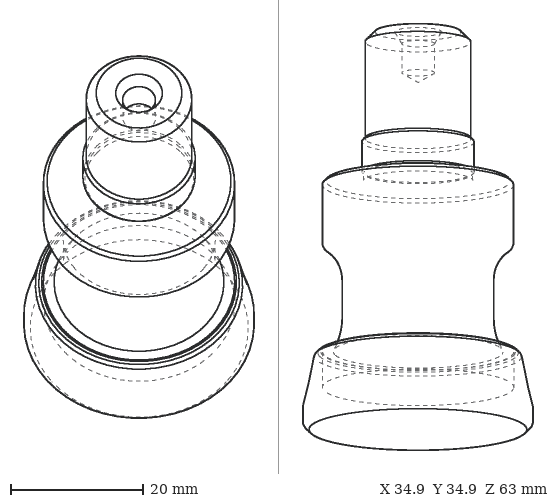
import cadquery as cq
import math

total_height = 63.0
axis_start = (0, 0)
axis_end = (0, 1)

tip_radius = 16.0 / 2
tip_chamfer = 1.5
collar_radius = 17.0 / 2
collar_top_z = 46.05
collar_bottom_z = 41.45
collar_top_chamfer = collar_radius - tip_radius
neck_radius = 16.5 / 2
collar_bottom_chamfer = collar_radius - neck_radius

hole_radius = 5.0 / 2
hole_mouth_radius = 3.5
hole_mouth_angle = 60.0
hole_depth = 6.3
drill_point_angle = 118.0

flange_radius = 29.0 / 2
flange_top_z = 40.0
flange_chamfer = 0.55
flange_round_start_z = 30.4
flange_round_end = (14.1, 29.65)
relief_radius = 9.45
relief_depth = 0.1
neck_fillet = 0.4

waist_radius = 23.0 / 2
waist_top_z = 24.7
waist_bottom_z = 18.85
upper_flare_end = (13.6, 29.3)
lower_flare_radius = 12.85

plug_radius = 29.0 / 2
plug_bottom_z = 8.2

foot_radius = 34.9 / 2
foot_top_z = 13.7
shoulder_top_radius = 14.75
shoulder_chamfer_top = (15.2, 13.5)
shoulder_chamfer_bottom = (15.7, 13.0)
taper_top = (15.8, 12.6)
taper_break = (16.7, 8.2)
foot_rim_top_z = 5.1
foot_rim_bottom_z = 2.9
rim_chamfer_top = (17.15, 2.25)
rim_chamfer_bottom = (16.5, 1.65)
base_cone_break = (11.65, 0.7)
base_flat_radius = 8.2


def tangent_arc_middle(tangent_point, end_point):
    """Middle of the arc that leaves tangent_point parallel to the axis and reaches end_point."""
    r_start, z_start = tangent_point
    rise_r = end_point[0] - r_start
    rise_z = end_point[1] - z_start
    radius = (rise_r**2 + rise_z**2) / (2 * rise_r)
    half_angle = math.asin(abs(rise_z / radius)) / 2
    middle_r = r_start + radius * (1 - math.cos(half_angle))
    middle_z = z_start + math.copysign(abs(radius) * math.sin(half_angle), rise_z)
    return middle_r, middle_z


def revolve_profile(profile):
    """Close a radius-height profile and turn it around the Z axis."""
    return profile.close().revolve(360, axis_start, axis_end)


def make_centre_hole():
    """Blind drilled hole with a countersunk mouth and a conical bottom."""
    point_length = hole_radius / math.tan(math.radians(drill_point_angle / 2))
    mouth_depth = (hole_mouth_radius - hole_radius) / math.tan(math.radians(hole_mouth_angle / 2))
    bottom_z = total_height - hole_depth
    return revolve_profile(
        cq.Workplane("XZ")
        .moveTo(0, total_height)
        .lineTo(hole_mouth_radius, total_height)
        .lineTo(hole_radius, total_height - mouth_depth)
        .lineTo(hole_radius, bottom_z)
        .lineTo(0, bottom_z - point_length)
    )


def make_spindle():
    """Spindle turned from one piece: plug, waist, flange and stem."""
    lower_flare_end = (lower_flare_radius, foot_top_z)
    waist_bottom = (waist_radius, waist_bottom_z)
    waist_top = (waist_radius, waist_top_z)
    flange_round_start = (flange_radius, flange_round_start_z)
    relief_floor_z = flange_top_z - relief_depth
    neck_fillet_start = (neck_radius + neck_fillet, relief_floor_z)
    neck_fillet_end = (neck_radius, relief_floor_z + neck_fillet)

    body = revolve_profile(
        cq.Workplane("XZ")
        .moveTo(0, plug_bottom_z)
        .lineTo(plug_radius, plug_bottom_z)
        .lineTo(plug_radius, foot_top_z)
        .lineTo(*lower_flare_end)
        .threePointArc(tangent_arc_middle(waist_bottom, lower_flare_end), waist_bottom)
        .lineTo(*waist_top)
        .threePointArc(tangent_arc_middle(waist_top, upper_flare_end), upper_flare_end)
        .lineTo(*flange_round_end)
        .threePointArc(tangent_arc_middle(flange_round_start, flange_round_end), flange_round_start)
        .lineTo(flange_radius, flange_top_z - flange_chamfer)
        .lineTo(flange_radius - flange_chamfer, flange_top_z)
        .lineTo(relief_radius, flange_top_z)
        .lineTo(*neck_fillet_start)
        .threePointArc(tangent_arc_middle(neck_fillet_end, neck_fillet_start), neck_fillet_end)
        .lineTo(neck_radius, collar_bottom_z - collar_bottom_chamfer)
        .lineTo(collar_radius, collar_bottom_z)
        .lineTo(collar_radius, collar_top_z)
        .lineTo(tip_radius, collar_top_z + collar_top_chamfer)
        .lineTo(tip_radius, total_height - tip_chamfer)
        .lineTo(tip_radius - tip_chamfer, total_height)
        .lineTo(0, total_height)
    )
    return body.cut(make_centre_hole())


def make_foot():
    """Tapered foot with a blind bore that fits the spindle's plug."""
    foot_rim_bottom = (foot_radius, foot_rim_bottom_z)
    return revolve_profile(
        cq.Workplane("XZ")
        .moveTo(0, 0)
        .lineTo(base_flat_radius, 0)
        .lineTo(*base_cone_break)
        .lineTo(*rim_chamfer_bottom)
        .lineTo(*rim_chamfer_top)
        .threePointArc(tangent_arc_middle(foot_rim_bottom, rim_chamfer_top), foot_rim_bottom)
        .lineTo(foot_radius, foot_rim_top_z)
        .lineTo(*taper_break)
        .lineTo(*taper_top)
        .lineTo(*shoulder_chamfer_bottom)
        .lineTo(*shoulder_chamfer_top)
        .lineTo(shoulder_top_radius, foot_top_z)
        .lineTo(plug_radius, foot_top_z)
        .lineTo(plug_radius, plug_bottom_z)
        .lineTo(0, plug_bottom_z)
    )


spindle = make_spindle()
foot = make_foot()
result = cq.Compound.makeCompound([spindle.val(), foot.val()])